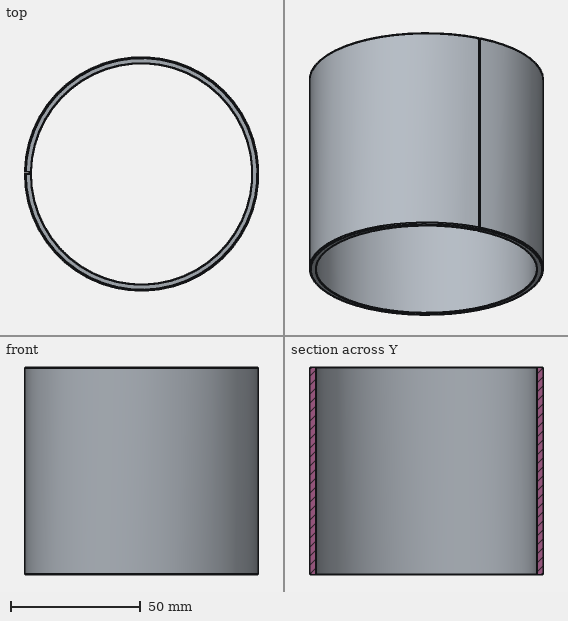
import cadquery as cq

outer_diameter = 90.0
wall_thickness = 2.5
height = 80.0
outer_chamfer = 0.5
inner_chamfer = 0.2
slit_angle = 1.0

outer_radius = outer_diameter / 2
inner_radius = outer_radius - wall_thickness


def make_wall_profile():
    """Wall section on the -X side, with all four corners chamfered."""
    return (
        cq.Workplane("XZ")
        .moveTo(-inner_radius - inner_chamfer, 0)
        .lineTo(-outer_radius + outer_chamfer, 0)
        .lineTo(-outer_radius, outer_chamfer)
        .lineTo(-outer_radius, height - outer_chamfer)
        .lineTo(-outer_radius + outer_chamfer, height)
        .lineTo(-inner_radius - inner_chamfer, height)
        .lineTo(-inner_radius, height - inner_chamfer)
        .lineTo(-inner_radius, inner_chamfer)
        .close()
    )


def make_split_sleeve():
    """Sweep the wall counterclockwise from -X, stopping short to leave the slit on the +Y side."""
    sweep_angle = 360.0 - slit_angle
    return make_wall_profile().revolve(sweep_angle, (0, 0, 0), (0, 1, 0))


result = make_split_sleeve()